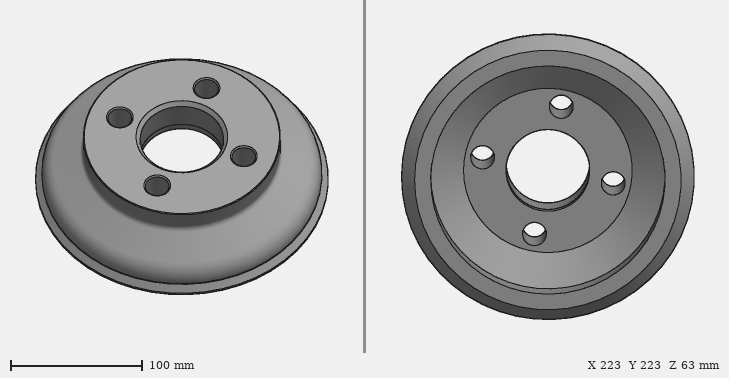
import cadquery as cq
import math

outer_diameter = 223.0
total_height = 63.0

ring_height = 17.6
ring_top_diameter = 213.5
ring_land_height = 1.0
rim_band_bottom = 10.0
ring_inner_diameter = 178.5

hub_diameter = 150.0
hub_chamfer = 0.7
cone_angle = math.radians(30)
shoulder_height = 45.3
hub_fillet = 4.7
flange_underside = 32.1
underside_diameter = 128.5

bore_diameter = 63.5
bore_chamfer = 3.1
relief_diameter = 63.8
relief_depth = 5.5

bolt_hole_diameter = 18.0
bolt_hole_chamfer = 1.1
bolt_spacing = 71.8

hub_radius = hub_diameter / 2
ring_top_radius = ring_top_diameter / 2
ring_inner_radius = ring_inner_diameter / 2
outer_radius = outer_diameter / 2


def revolve_profile(profile):
    """Turn a closed (radius, height) outline around the Z axis."""
    return profile.close().revolve(360, (0, 0, 0), (0, 1, 0))


def make_cup_blank():
    """Hub, conical shoulder rounded down to the joint, and hollow underside."""
    cone_slope = math.tan(cone_angle)
    turn = math.pi / 2 - cone_angle

    fillet_tangent = hub_fillet * math.tan(turn / 2)
    fillet_top = (hub_radius, shoulder_height + fillet_tangent)
    fillet_end = (
        hub_radius + fillet_tangent * math.cos(cone_angle),
        shoulder_height - fillet_tangent * math.sin(cone_angle),
    )

    corner_height = shoulder_height - cone_slope * (ring_top_radius - hub_radius)
    shoulder_tangent = corner_height - ring_height
    shoulder_start = (
        ring_top_radius - shoulder_tangent * math.cos(cone_angle),
        corner_height + shoulder_tangent * math.sin(cone_angle),
    )

    profile = (
        cq.Workplane("XZ")
        .moveTo(0, flange_underside)
        .lineTo(0, total_height)
        .lineTo(hub_radius - hub_chamfer, total_height)
        .lineTo(hub_radius, total_height - hub_chamfer)
        .lineTo(*fillet_top)
        .tangentArcPoint(fillet_end, relative=False)
        .lineTo(*shoulder_start)
        .tangentArcPoint((ring_top_radius, ring_height), relative=False)
        .lineTo(ring_inner_radius, ring_height)
        .lineTo(underside_diameter / 2, flange_underside)
    )
    return revolve_profile(profile)


def make_bore_cutter():
    """Chamfered centre bore with a slightly wider relief at its lower end."""
    bore_radius = bore_diameter / 2
    relief_radius = relief_diameter / 2
    relief_top = flange_underside + relief_depth
    profile = (
        cq.Workplane("XZ")
        .moveTo(0, flange_underside)
        .lineTo(relief_radius, flange_underside)
        .lineTo(relief_radius, relief_top)
        .lineTo(bore_radius, relief_top)
        .lineTo(bore_radius, total_height - bore_chamfer)
        .lineTo(bore_radius + bore_chamfer, total_height)
        .lineTo(0, total_height)
    )
    return revolve_profile(profile)


def drill_bolt_holes(body):
    """Four through holes on a square, chamfered at the top face."""
    return (
        body.faces(">Z")
        .workplane(origin=(0, 0, total_height))
        .rect(bolt_spacing, bolt_spacing, forConstruction=True)
        .vertices()
        .cskHole(bolt_hole_diameter, bolt_hole_diameter + 2 * bolt_hole_chamfer, 90)
    )


def make_cup():
    return drill_bolt_holes(make_cup_blank().cut(make_bore_cutter()))


def make_abrasive_ring():
    """Ring with 45 degree bevels above and below its upright rim band."""
    land_bottom = ring_height - ring_land_height
    rim_band_top = land_bottom - (outer_radius - ring_top_radius)
    profile = (
        cq.Workplane("XZ")
        .moveTo(ring_inner_radius, 0)
        .lineTo(outer_radius - rim_band_bottom, 0)
        .lineTo(outer_radius, rim_band_bottom)
        .lineTo(outer_radius, rim_band_top)
        .lineTo(ring_top_radius, land_bottom)
        .lineTo(ring_top_radius, ring_height)
        .lineTo(ring_inner_radius, ring_height)
    )
    return revolve_profile(profile)


cup = make_cup()
abrasive_ring = make_abrasive_ring()

result = cq.Compound.makeCompound([cup.solids().val(), abrasive_ring.val()])